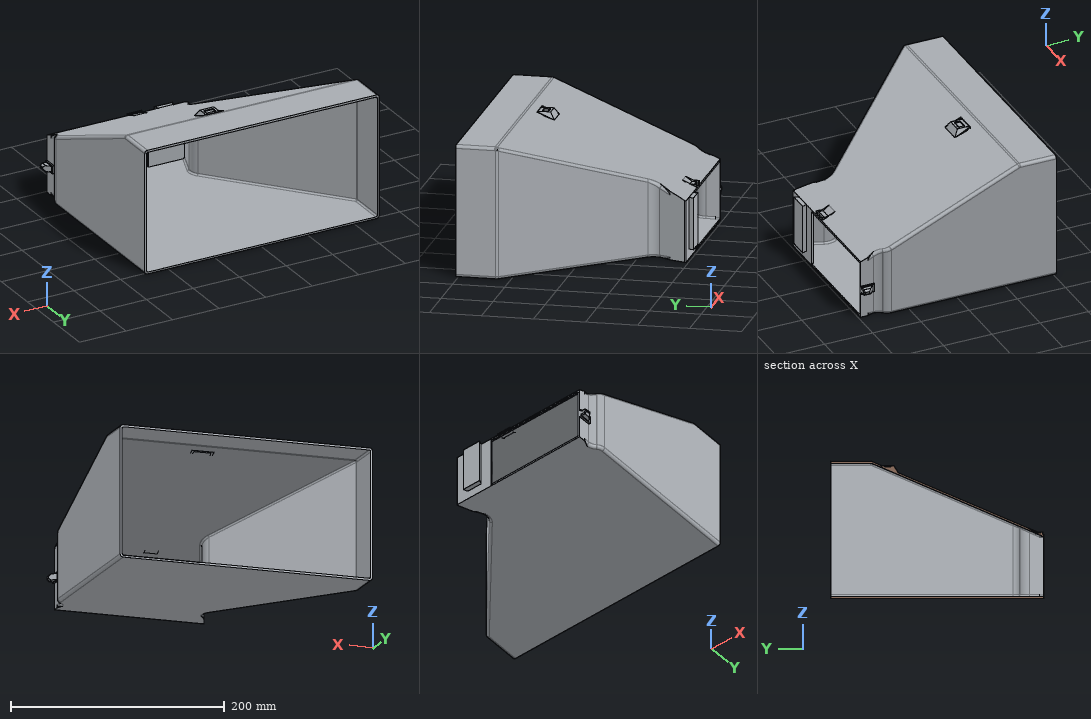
import cadquery as cq
import math

WALL = 2.0
BODY_WIDTH = 252.0
BODY_DEPTH = 200.0
BODY_HEIGHT = 129.0
COLLAR_DEPTH = 40.0
NOSE_HEIGHT = 60.0
ROOF_BEND_Y = 161.5
NOSE_LEFT = 96.5
NOSE_LAND = 1.5
NOSE_RIGHT = 245.4

THROAT_X = 108.0
THROAT_Y = 33.5
THROAT_RADIUS = 11.1
NOTCH_SHOULDER_Y = 24.5
SHOULDER_RADIUS = 10.6
CORNER_RADIUS = 4.0
ROOF_BEND_RADIUS = 5.0
EDGE_RADIUS = 3.0
INNER_EDGE_RADIUS = 1.8

LEFT_FADE_START = 27.0
LEFT_FADE_END = 16.5
RIGHT_FADE_START = 15.2
RIGHT_FADE_END = 7.5
FADE_WIDTH = 3.0

OPENING_LEFT = 137.5
OPENING_CORNER = 1.3

RAIL_CENTER_X = 117.7
RAIL_WIDTH = 19.7
RAIL_ROOT_WIDTH = 16.2
RAIL_HEIGHT = 4.5
RAIL_BOTTOM = 9.5

HOOK_TIP_X = 253.2
HOOK_TIP_LENGTH = 5.5
HOOK_LENGTH = 13.7
HOOK_CENTER_Z = 29.5
HOOK_THICKNESS = 6.0
HOOK_ROOT_X = 247.0
HOOK_ROOT_THICKNESS = 8.0
HOOK_CHAMFER = 2.0
HOOK_FRONT_CHAMFER = 1.0

LOCK_CENTER_X = 152.2
POCKET_DEPTH = 1.0
REAR_BOSS_WIDTH = 21.8
REAR_BOSS_TOP_WIDTH = 14.7
REAR_BOSS_TOP = 124.8
REAR_BOSS_FRONT = 136.5
REAR_BOSS_TOP_FRONT = 140.8
REAR_BOSS_BACK = 153.0
REAR_SEAT_DROP = 1.5
REAR_POCKET_WIDTH = 9.5
REAR_POCKET_FRONT = 143.5
REAR_POCKET_BACK = 149.5
FRONT_BOSS_WIDTH = 15.2
FRONT_BOSS_TOP = 62.5
FRONT_BOSS_FRONT = 1.0
FRONT_POCKET_WIDTH = 13.2
FRONT_POCKET_FRONT = 3.0
FRONT_POCKET_RAMP = 8.0
FRONT_POCKET_BACK = 14.2

collar_front = BODY_DEPTH - COLLAR_DEPTH
roof_slope = (BODY_HEIGHT - NOSE_HEIGHT) / ROOF_BEND_Y
roof_angle = math.atan(roof_slope)
LONG_EDGES = "not(|X or |Z)"
notch_y = NOTCH_SHOULDER_Y - (BODY_WIDTH - NOSE_RIGHT)


def roof_z(y):
    """Height of the sloping roof above a given y."""
    return NOSE_HEIGHT + roof_slope * y


def box(x_range, y_range, z_range):
    """Box spanning the given coordinate ranges."""
    size = [end - start for start, end in (x_range, y_range, z_range)]
    corner = (x_range[0], y_range[0], z_range[0])
    return cq.Workplane("XY").box(*size, centered=False).translate(corner)


def side_prism(profile, x_start, x_end):
    """Closed (y, z) profile carried along X."""
    return cq.Workplane("YZ", origin=(x_start, 0, 0)).polyline(profile).close().extrude(x_end - x_start)


def nose_left_x(y):
    """X of the flared left wall between the nose land and the throat."""
    return NOSE_LEFT + (THROAT_X - NOSE_LEFT) * (y - NOSE_LAND) / (THROAT_Y - NOSE_LAND)


def plan_prism(back):
    """Plan outline of the duct with its throat, notch and corner roundings."""
    outline = [
        (nose_left_x(0), 0),
        (NOSE_RIGHT, 0),
        (NOSE_RIGHT, notch_y),
        (BODY_WIDTH, NOTCH_SHOULDER_Y),
        (BODY_WIDTH, back),
        (0, back),
        (0, collar_front),
        (THROAT_X, THROAT_Y),
    ]
    rounded_corners = [
        ((NOSE_RIGHT, notch_y), THROAT_RADIUS),
        ((BODY_WIDTH, NOTCH_SHOULDER_Y), SHOULDER_RADIUS),
        ((0, collar_front), CORNER_RADIUS),
        ((THROAT_X, THROAT_Y), THROAT_RADIUS),
    ]
    prism = cq.Workplane("XY").polyline(outline).close().extrude(BODY_HEIGHT)
    for (x, y), radius in rounded_corners:
        corner = cq.selectors.NearestToPointSelector((x, y, BODY_HEIGHT / 2))
        prism = prism.edges("|Z").edges(corner).fillet(radius)
    return prism


def roof_prism(back):
    """Side profile of the duct: level collar, then the roof falling to the nose."""
    profile = [
        (0, 0),
        (back, 0),
        (back, BODY_HEIGHT),
        (ROOF_BEND_Y, BODY_HEIGHT),
        (0, NOSE_HEIGHT),
    ]
    bend = cq.selectors.NearestToPointSelector((BODY_WIDTH / 2, ROOF_BEND_Y, BODY_HEIGHT))
    return side_prism(profile, 0, BODY_WIDTH).edges("|X").edges(bend).fillet(ROOF_BEND_RADIUS)


def sharp_nose():
    """Front end of the duct, whose long edges stay sharp."""
    outline = [
        (nose_left_x(0), 0),
        (NOSE_RIGHT, 0),
        (NOSE_RIGHT, RIGHT_FADE_END),
        (NOSE_RIGHT - FADE_WIDTH, RIGHT_FADE_START),
        (nose_left_x(LEFT_FADE_START) + FADE_WIDTH, LEFT_FADE_START),
        (nose_left_x(LEFT_FADE_END), LEFT_FADE_END),
    ]
    return cq.Workplane("XY").polyline(outline).close().extrude(BODY_HEIGHT)


def outer_body():
    """Solid duct with rounded long edges and a sharp nose."""
    roof = roof_prism(BODY_DEPTH)
    rounded = plan_prism(BODY_DEPTH).intersect(roof).edges(LONG_EDGES).fillet(EDGE_RADIUS)
    flare_tip = box((nose_left_x(0), NOSE_LEFT), (0, NOSE_LAND), (0, BODY_HEIGHT))
    return rounded.union(sharp_nose().intersect(roof)).cut(flare_tip)


def cavity():
    """Air space one wall thickness inside the body, running out through the back."""
    back = BODY_DEPTH + 2 * WALL
    outer_wire = plan_prism(back).wires("<Z").val()
    plan = cq.Workplane("XY").newObject(outer_wire.offset2D(-WALL)).toPending().extrude(BODY_HEIGHT)
    ceiling = roof_prism(back).translate((0, 0, -WALL / math.cos(roof_angle)))
    above_floor = box((0, BODY_WIDTH), (0, back), (WALL, BODY_HEIGHT - WALL))
    space = plan.intersect(ceiling).intersect(above_floor)
    return space.edges(LONG_EDGES).fillet(INNER_EDGE_RADIUS)


def opening():
    """Rectangular mouth through the front wall."""
    mouth = box((OPENING_LEFT, NOSE_RIGHT - WALL), (-WALL, 2 * WALL), (WALL, NOSE_HEIGHT - WALL))
    return mouth.edges("|Y and <Z and >X").fillet(OPENING_CORNER)


def front_rail():
    """Dovetail rail standing on the front face."""
    outline = [
        (RAIL_CENTER_X - RAIL_ROOT_WIDTH / 2, 0),
        (RAIL_CENTER_X + RAIL_ROOT_WIDTH / 2, 0),
        (RAIL_CENTER_X + RAIL_WIDTH / 2, -RAIL_HEIGHT),
        (RAIL_CENTER_X - RAIL_WIDTH / 2, -RAIL_HEIGHT),
    ]
    rail = cq.Workplane("XY").workplane(offset=RAIL_BOTTOM).polyline(outline).close()
    return rail.extrude(NOSE_HEIGHT - RAIL_BOTTOM)


def side_hook():
    """Small ramped catch on the right wall, flush with the front face."""
    outline = [
        (NOSE_RIGHT - WALL / 2, 0),
        (HOOK_TIP_X, 0),
        (HOOK_TIP_X, HOOK_TIP_LENGTH),
        (NOSE_RIGHT, HOOK_LENGTH),
        (NOSE_RIGHT - WALL / 2, HOOK_LENGTH),
    ]
    hook = cq.Workplane("XY").workplane(offset=HOOK_CENTER_Z - HOOK_THICKNESS / 2)
    hook = hook.polyline(outline).close().extrude(HOOK_THICKNESS)
    hook = hook.faces(">X").edges("|Y").chamfer(HOOK_CHAMFER)
    hook = hook.faces("<Y").chamfer(HOOK_FRONT_CHAMFER)
    half_root = HOOK_ROOT_THICKNESS / 2
    root = box(
        (NOSE_RIGHT - WALL / 2, HOOK_ROOT_X),
        (0, HOOK_LENGTH),
        (HOOK_CENTER_Z - half_root, HOOK_CENTER_Z + half_root),
    )
    return hook.union(root)


def centered_x(width):
    """X range of a feature centred on the two lock seats."""
    return (LOCK_CENTER_X - width / 2, LOCK_CENTER_X + width / 2)


def rear_lock_seat():
    """Shallow wedge sunk into the roof around the rear boss, deepest at its back."""
    back_z = roof_z(REAR_BOSS_BACK)
    profile = [
        (REAR_BOSS_FRONT, roof_z(REAR_BOSS_FRONT)),
        (REAR_BOSS_BACK, back_z - REAR_SEAT_DROP),
        (REAR_BOSS_BACK, back_z + WALL),
    ]
    return side_prism(profile, *centered_x(REAR_BOSS_WIDTH))


def rear_lock_boss():
    """Level-topped boss with sloping front and sides, standing in the rear seat."""
    foot_z = roof_z(REAR_BOSS_FRONT)
    profile = [
        (REAR_BOSS_FRONT, foot_z - WALL / 2),
        (REAR_BOSS_FRONT, foot_z),
        (REAR_BOSS_TOP_FRONT, REAR_BOSS_TOP),
        (REAR_BOSS_BACK, REAR_BOSS_TOP),
        (REAR_BOSS_BACK, REAR_BOSS_TOP - WALL / 2),
    ]
    flanks = [
        (-REAR_BOSS_WIDTH / 2, foot_z - WALL / 2),
        (REAR_BOSS_WIDTH / 2, foot_z - WALL / 2),
        (REAR_BOSS_WIDTH / 2, foot_z),
        (REAR_BOSS_TOP_WIDTH / 2, REAR_BOSS_TOP),
        (-REAR_BOSS_TOP_WIDTH / 2, REAR_BOSS_TOP),
        (-REAR_BOSS_WIDTH / 2, foot_z),
    ]
    back_plane = cq.Workplane("XZ", origin=(LOCK_CENTER_X, REAR_BOSS_BACK, 0))
    flanked_block = back_plane.polyline(flanks).close().extrude(REAR_BOSS_BACK - REAR_BOSS_FRONT)
    return side_prism(profile, *centered_x(REAR_BOSS_WIDTH)).intersect(flanked_block)


def rear_lock_pocket():
    """Blind pocket in the top of the rear boss."""
    return box(
        centered_x(REAR_POCKET_WIDTH),
        (REAR_POCKET_FRONT, REAR_POCKET_BACK),
        (REAR_BOSS_TOP - POCKET_DEPTH, BODY_HEIGHT),
    )


def front_lock_boss():
    """Level-topped lip above the mouth."""
    profile = [
        (FRONT_BOSS_FRONT, roof_z(FRONT_BOSS_FRONT) - WALL / 2),
        (FRONT_BOSS_FRONT, FRONT_BOSS_TOP),
        ((FRONT_BOSS_TOP - NOSE_HEIGHT) / roof_slope, FRONT_BOSS_TOP),
    ]
    return side_prism(profile, *centered_x(FRONT_BOSS_WIDTH))


def front_lock_pocket():
    """Blind pocket behind the front lip, with a ramp down from the roof."""
    floor = FRONT_BOSS_TOP - POCKET_DEPTH
    profile = [
        (FRONT_POCKET_FRONT, floor),
        (FRONT_POCKET_RAMP, floor),
        (FRONT_POCKET_BACK, roof_z(FRONT_POCKET_BACK)),
        (FRONT_POCKET_FRONT, roof_z(FRONT_POCKET_BACK)),
    ]
    return side_prism(profile, *centered_x(FRONT_POCKET_WIDTH))


result = (
    outer_body()
    .cut(cavity())
    .cut(opening())
    .union(front_rail())
    .union(side_hook())
    .cut(rear_lock_seat())
    .union(rear_lock_boss())
    .cut(rear_lock_pocket())
    .union(front_lock_boss())
    .cut(front_lock_pocket())
)